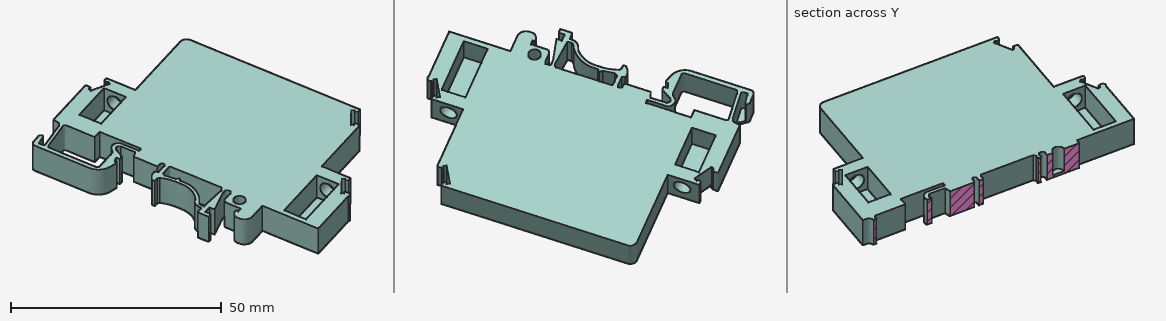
import cadquery as cq
import math

thickness = 8.0
floor = 1.0
overall_width = 74.1
overall_height = 51.6

wall_right = 73.95
base_bottom = 10.1
shoulder = 29.5
block_left = 11.0
block_right = 63.0
block_corner_radius = 1.8
rail_gap_top = 10.5
stop_bottom = 9.0

stop_left = 23.1
stop_right = 29.8
stop_lean = 0.45
toe_slot_left = 29.9
toe_leg_left = 31.05
toe_leg_right = 32.2
clip_leg_right = 48.0
seat_left = 49.6
arm_top = 11.4

small_round = 0.3
leg_round = 0.4
slot_round = 0.5
cavity_round = 0.7
seat_round = 1.0
bead_corner_round = 0.6

notch_angle = 60.0
notch_offset = (3.3, 3.55)
notch_length = 4.2
notch_lip_x = 2.9
notch_lip_drop = 0.9
notch_sill_drop = 4.7
groove_length = 5.2
groove_depth = 0.8
groove_web = 0.3
bead_radius = 0.75

pocket_width = 6.1
pocket_top = 26.15
left_pocket = (4.3, 15.0)
right_pocket = (63.65, 11.4)
screw_diameter = 4.2

pin_diameter = 3.0
pin_center = (52.7, 9.0)

foot_floor = 1.2
foot_rail_x = 20.8

hook_bottom = 3.3
hook_right = 58.4


def plate(points, bottom=0.0, top=thickness):
    """Straight-sided outline extruded between two Z levels."""
    return cq.Workplane("XY").workplane(offset=bottom).polyline(points).close().extrude(top - bottom)


def disc(center, radius, bottom=0.0):
    """Round pin from a Z level up to the top face."""
    base = cq.Workplane("XY").workplane(offset=bottom)
    return base.center(*center).circle(radius).extrude(thickness - bottom)


def round_corners(solid, points, radius):
    """Fillet the vertical edge at each listed corner."""
    for x, y in points:
        corner = cq.selectors.NearestToPointSelector((x, y, thickness / 2))
        solid = solid.edges("|Z").edges(corner).fillet(radius)
    return solid


def housing():
    """Base with the tall block, rail stop and pin seat; notches are cut later."""
    left_lug_right = 11.6
    recess_top = 12.3
    hook_seat = 6.5
    body = plate([
        (0, base_bottom), (left_lug_right, base_bottom), (left_lug_right, recess_top),
        (stop_left, recess_top), (stop_left, arm_top), (stop_left - stop_lean, rail_gap_top),
        (stop_left, stop_bottom), (stop_right, stop_bottom), (toe_slot_left, rail_gap_top),
        (seat_left, rail_gap_top), (seat_left, hook_seat),
        (hook_right, hook_seat), (hook_right, base_bottom), (wall_right, base_bottom),
        (wall_right, shoulder), (block_right, shoulder), (block_right, overall_height),
        (block_left, overall_height), (block_left, shoulder), (0, shoulder),
    ])
    body = round_corners(body, [(block_left, overall_height)], block_corner_radius)
    return round_corners(body, [(seat_left, hook_seat)], seat_round)


def marker_notch(corner_x, corner_y, inward):
    """Cutter for a sloped notch in a housing corner; inward is +1 or -1 along X."""
    slope = math.radians(notch_angle)

    def at(along, out):
        x = notch_offset[0] + along * math.cos(slope) - out * math.sin(slope)
        y = -notch_offset[1] + along * math.sin(slope) + out * math.cos(slope)
        return (corner_x + inward * x, corner_y + y)

    def from_corner(x, y):
        return (corner_x + inward * x, corner_y + y)

    clearance = 0.75
    half_notch = notch_length / 2
    half_groove = groove_length / 2
    lower_lip_length = 1.25
    opening = plate([
        at(half_notch, 0), from_corner(notch_lip_x, -notch_lip_drop),
        from_corner(notch_lip_x, clearance), from_corner(-clearance, clearance),
        from_corner(-clearance, -notch_sill_drop), at(-half_notch, lower_lip_length), at(-half_notch, 0),
    ])
    groove = plate([
        at(-half_groove, 0), at(half_groove, 0),
        at(half_groove, groove_depth), at(-half_groove, groove_depth),
    ], bottom=groove_web)
    return opening.union(groove)


def terminal_pocket(left, bottom):
    """Cutter for an open-top pocket with a screw hole running up to the shoulder."""
    height = pocket_top - bottom
    center_x = left + pocket_width / 2
    pocket = cq.Workplane("XY").box(pocket_width, height, thickness - floor, centered=False)
    screw_z = (floor + thickness) / 2
    screw = cq.Workplane("XZ", origin=(center_x, shoulder, screw_z)).circle(screw_diameter / 2)
    overlap = 0.75
    screw = screw.extrude(shoulder - pocket_top + overlap)
    return pocket.translate((left, bottom, floor)).union(screw)


def foot():
    """Leg with a latch slot, a floor, and a rail hook whose arm springs from the rail stop."""
    hook_back = 18.1
    latch_tip = (0.7, 4.15)
    latch_round = 1.1
    slot_left = (1.5, foot_floor)
    slot_corner = (3.05, foot_floor)
    cavity_corner = (3.9, foot_floor)
    strip = (
        cq.Workplane("XY")
        .moveTo(1.05, base_bottom)
        .threePointArc((2.0, 9.55), (2.3, 8.75))
        .lineTo(*slot_corner)
        .lineTo(*slot_left)
        .lineTo(1.05, 3.9)
        .lineTo(*latch_tip)
        .threePointArc((0.2, 3.85), (0, 3.3))
        .lineTo(0.1, 2.3)
        .lineTo(0.1, latch_round)
        .threePointArc((0.4, 0.3), (latch_round, 0))
        .lineTo(16.5, 0)
        .threePointArc((18.8, 0.9), (20.3, 3.0))
        .lineTo(foot_rail_x, 4.75)
        .lineTo(foot_rail_x, 5.2)
        .lineTo(20.15, 5.2)
        .lineTo(19.8, 6.5)
        .lineTo(foot_rail_x, 6.5)
        .lineTo(foot_rail_x, 7.5)
        .lineTo(18.2, 9.0)
        .threePointArc((17.9, 9.9), (18.5, rail_gap_top))
        .lineTo(stop_left, rail_gap_top)
        .lineTo(stop_left, arm_top)
        .lineTo(hook_back, arm_top)
        .threePointArc((16.9, 10.5), (17.0, 8.9))
        .lineTo(hook_back, 7.7)
        .lineTo(hook_back, foot_floor)
        .lineTo(*cavity_corner)
        .lineTo(3.1, 9.6)
        .threePointArc((3.25, 9.9), (3.55, base_bottom))
        .close()
        .extrude(thickness)
    )
    strip = round_corners(strip, [slot_corner], slot_round)
    strip = round_corners(strip, [cavity_corner, (hook_back, foot_floor)], cavity_round)
    latch_web = plate([latch_tip, (2.1, 5.4), (2.75, 5.05), slot_corner, slot_left], top=floor)
    return strip.union(latch_web)


def spring_clip():
    """Toe and foot hung from two legs and joined by an arched spring."""
    toe_bottom = 4.2
    spring_crown = 6.6
    foot_left, foot_right = 46.45, 49.6
    lip_top = 1.1
    strip = (
        cq.Workplane("XY")
        .moveTo(toe_leg_left, rail_gap_top)
        .lineTo(toe_leg_left, 7.4)
        .lineTo(30.2, 7.2)
        .threePointArc((30.4, 5.4), (31.3, toe_bottom))
        .lineTo(31.9, toe_bottom)
        .lineTo(32.0, 5.3)
        .lineTo(32.4, 5.8)
        .threePointArc((34.4, 6.4), (36.4, spring_crown))
        .lineTo(37.9, spring_crown)
        .threePointArc((41.05, 5.9), (43.6, 3.85))
        .threePointArc((44.4, 2.4), (45.6, 1.85))
        .lineTo(foot_left, 1.85)
        .lineTo(foot_left, 0)
        .lineTo(foot_right, 0)
        .lineTo(foot_right, lip_top)
        .lineTo(clip_leg_right, lip_top)
        .lineTo(clip_leg_right, 3.0)
        .lineTo(49.4, 3.0)
        .lineTo(clip_leg_right, 8.9)
        .lineTo(clip_leg_right, rail_gap_top)
        .lineTo(46.7, rail_gap_top)
        .lineTo(47.2, 9.9)
        .lineTo(46.7, 2.75)
        .lineTo(45.6, 2.75)
        .threePointArc((45.2, 3.0), (44.8, 3.55))
        .threePointArc((42.45, 6.15), (39.3, 7.4))
        .lineTo(37.1, 7.5)
        .lineTo(36.5, 8.1)
        .lineTo(35.85, 7.5)
        .threePointArc((34.4, 7.25), (33.0, 7.1))
        .lineTo(toe_leg_right, 7.55)
        .lineTo(toe_leg_right, rail_gap_top)
        .close()
        .extrude(thickness)
    )
    return round_corners(strip, [(foot_left, 0), (foot_right, lip_top)], small_round)


def rail_hook():
    """Round-ended hook below the right side of the housing."""
    neck = 54.5
    tip = (53.95, 5.4)
    flat_left, flat_right = 55.3, 56.1
    heel_radius = hook_right - flat_right
    heel_center = (flat_right, hook_bottom + heel_radius)
    heel_middle = (
        heel_center[0] + heel_radius * math.cos(math.radians(45)),
        heel_center[1] - heel_radius * math.sin(math.radians(45)),
    )
    return (
        cq.Workplane("XY")
        .moveTo(neck, base_bottom)
        .lineTo(neck, tip[1])
        .lineTo(*tip)
        .threePointArc((54.3, 3.9), (flat_left, hook_bottom))
        .lineTo(flat_right, hook_bottom)
        .threePointArc(heel_middle, (hook_right, heel_center[1]))
        .lineTo(hook_right, base_bottom)
        .close()
        .extrude(thickness)
    )


result = housing()
result = result.cut(marker_notch(0, shoulder, 1))
result = result.cut(marker_notch(wall_right, shoulder, -1))
result = result.cut(marker_notch(block_right, overall_height, -1))

sill = shoulder - notch_sill_drop
block_sill = overall_height - notch_sill_drop
result = round_corners(result, [(0, sill), (block_right, block_sill)], small_round)
result = round_corners(result, [(wall_right, sill)], bead_corner_round)
bead_center = (overall_width - bead_radius, sill - bead_radius)
result = result.union(disc(bead_center, bead_radius))

result = result.union(foot()).union(spring_clip()).union(rail_hook())

slot_sides = (toe_slot_left, toe_leg_left, clip_leg_right, seat_left)
result = round_corners(result, [(x, rail_gap_top) for x in slot_sides], slot_round)
result = round_corners(result, [(toe_leg_right, rail_gap_top)], leg_round)

for left, bottom in (left_pocket, right_pocket):
    result = result.cut(terminal_pocket(left, bottom))
result = result.cut(disc(pin_center, pin_diameter / 2, bottom=floor))